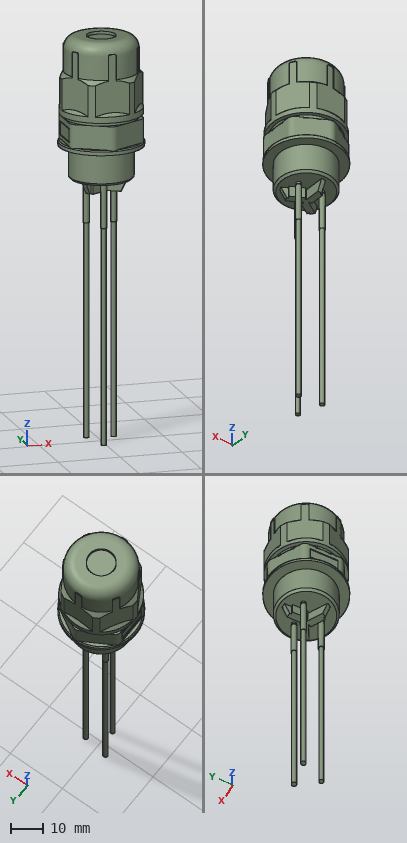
import cadquery as cq
import math


total_length = 129.9
top_z = 35.0
tip_z = top_z - total_length
flange_thickness = 1.5
nut_height = 7.5
nut_top_z = flange_thickness + nut_height
collar_height = 1.2
cap_base_z = nut_top_z + collar_height
hub_length = 10.7

across_flats = 23.8
flat_distance = across_flats / 2
side_count = 6
side_step = 360 / side_count

cap_diameter = 26.2
cap_radius = cap_diameter / 2
crown_radius = 11.7
dome_radius = 3.8
shoulder_drop = 12.7
shoulder_z = top_z - shoulder_drop
shoulder_rise = cap_radius - crown_radius
rim_height = 2.0
flat_foot_rise = 1.0
rib_width = 2.5
rib_top_drop = 3.1
rib_top_z = top_z - rib_top_drop
rib_corner_chamfer = 0.4
rib_root_radius = 7.8
top_hole_diameter = 9.2
top_hole_depth = 0.9

flange_diameter = 26.9
flange_chamfer = 0.4
nut_corner_fillet = 2.5
panel_width = 9.7
panel_height = 4.3
panel_depth = 0.3
panel_center_z = 5.0
hub_diameter = 20.4
hub_chamfer = 0.8

insert_length = 3.9
insert_top_radius = 8.2
insert_bottom_radius = 6.4
arm_count = 3
arm_wide_side = 1.0
arm_narrow_side = 0.58
pad_thickness = 0.85
pad_start = 0.4
pad_end = 5.7
first_arm_angle = 90

lead_circle_radius = 5.0
first_lead_angle = 22
lead_step = 120
sleeve_diameter = 2.0
sleeve_gap = 0.9
sleeve_end_drop = 60.4
sleeve_end_z = top_z - sleeve_end_drop
lead_length_difference = 0.6
short_lead_end_z = tip_z + lead_length_difference
lead_overlap = 1.3
leads = [
    (1.7, short_lead_end_z),
    (1.7, short_lead_end_z),
    (1.5, tip_z),
]


def rod(diameter, bottom, top, x=0, y=0):
    """Vertical cylinder between two levels."""
    return cq.Workplane("XY", origin=(x, y, bottom)).circle(diameter / 2).extrude(top - bottom)


def make_flat_cutter():
    """Material outside one wrench flat of the cap, facing +X and ending on a conical foot."""
    rim_top_z = cap_base_z + rim_height
    slab = (
        cq.Workplane("XY")
        .box(cap_radius, across_flats, top_z - rim_top_z, centered=(False, True, False))
        .translate((flat_distance, 0, rim_top_z))
    )
    foot = (
        cq.Workplane("XY", origin=(0, 0, rim_top_z))
        .circle(cap_radius)
        .workplane(offset=flat_foot_rise)
        .circle(flat_distance)
        .loft()
    )
    return slab.cut(foot)


def make_rib():
    """Upright rib on the crown, flush with the wrench flat facing +X."""
    return (
        cq.Workplane("XY")
        .box(flat_distance - rib_root_radius, rib_width, rib_top_z - shoulder_z, centered=(False, True, False))
        .edges("|X and >Z")
        .chamfer(rib_corner_chamfer)
        .translate((rib_root_radius, 0, shoulder_z))
    )


def make_cap():
    dome_middle = dome_radius * math.sqrt(0.5)
    cap = (
        cq.Workplane("XZ")
        .moveTo(0, cap_base_z)
        .lineTo(cap_radius, cap_base_z)
        .lineTo(cap_radius, shoulder_z)
        .lineTo(crown_radius, shoulder_z + shoulder_rise)
        .lineTo(crown_radius, top_z - dome_radius)
        .threePointArc(
            (crown_radius - dome_radius + dome_middle, top_z - dome_radius + dome_middle),
            (crown_radius - dome_radius, top_z),
        )
        .lineTo(0, top_z)
        .close()
        .revolve(360, (0, 0, 0), (0, 1, 0))
    )
    flat_cutter = make_flat_cutter()
    rib = make_rib()
    for side in range(side_count):
        angle = (side + 0.5) * side_step
        cap = cap.cut(flat_cutter.rotate((0, 0, 0), (0, 0, 1), angle))
        cap = cap.union(rib.rotate((0, 0, 0), (0, 0, 1), angle))
    return cap.cut(rod(top_hole_diameter, top_z - top_hole_depth, top_z))


def make_nut():
    """Rounded hexagon with flats on +X and -X, a round flange below and a collar above."""
    corner_diameter = across_flats / math.cos(math.pi / side_count)
    hexagon = (
        cq.Workplane("XY")
        .polygon(side_count, corner_diameter)
        .extrude(nut_top_z)
        .edges("|Z")
        .fillet(nut_corner_fillet)
        .rotate((0, 0, 0), (0, 0, 1), side_step / 2)
    )
    panel = cq.Workplane("XY").box(2 * panel_depth, panel_width, panel_height)
    panel = panel.translate((-flat_distance, 0, panel_center_z))
    flange = rod(flange_diameter, 0, flange_thickness).faces(">Z").chamfer(flange_chamfer)
    collar = rod(across_flats, nut_top_z, cap_base_z)
    return hexagon.cut(panel).union(flange).union(collar)


def make_hub():
    return rod(hub_diameter, -hub_length, 0).faces("<Z").chamfer(hub_chamfer)


def make_insert():
    """Tapered cone reduced to three arms off their radial lines, each with a pad on one wall."""
    insert_bottom_z = -hub_length - insert_length
    cone = (
        cq.Workplane("XY", origin=(0, 0, -hub_length))
        .circle(insert_top_radius)
        .workplane(offset=-insert_length)
        .circle(insert_bottom_radius)
        .loft()
    )
    arm = (
        cq.Workplane("XY")
        .box(insert_top_radius, arm_wide_side + arm_narrow_side, insert_length, centered=False)
        .translate((0, -arm_narrow_side, insert_bottom_z))
    )
    pad = (
        cq.Workplane("XY")
        .box(pad_end - pad_start, pad_thickness, insert_length, centered=False)
        .translate((pad_start, arm_wide_side, insert_bottom_z))
    )
    arm = arm.union(pad)
    star = arm.rotate((0, 0, 0), (0, 0, 1), first_arm_angle)
    for index in range(1, arm_count):
        star = star.union(arm.rotate((0, 0, 0), (0, 0, 1), first_arm_angle + index * 360 / arm_count))
    return cone.intersect(star)


def make_lead(index, diameter, end_z):
    angle = math.radians(first_lead_angle + index * lead_step)
    x = lead_circle_radius * math.cos(angle)
    y = lead_circle_radius * math.sin(angle)
    wire = rod(diameter, end_z, lead_overlap - hub_length, x, y)
    sleeve = rod(sleeve_diameter, sleeve_end_z, -hub_length - sleeve_gap, x, y)
    return wire.union(sleeve)


result = make_cap().union(make_nut()).union(make_hub()).union(make_insert())
for lead_index, (lead_diameter, lead_end_z) in enumerate(leads):
    result = result.union(make_lead(lead_index, lead_diameter, lead_end_z))